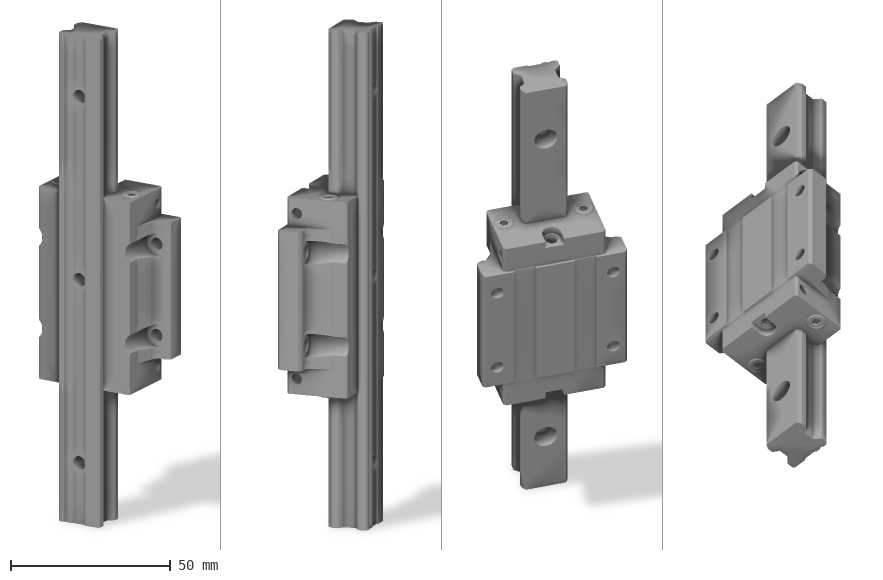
import cadquery as cq
import math


rail_length = 160.0
rail_half_width = 7.5
rail_height = 13.1
rail_foot_height = 2.7
rail_waist_half_width = 5.5
rail_waist_bottom = 4.5
rail_waist_top = 8.3
rail_head_bottom = 9.6
rail_head_top = 11.5
rail_head_chamfer = 1.0
rail_foot_chamfer = 0.6
rail_shoulder_fillet = 0.6
base_groove_half_width = 2.5
base_groove_floor_half_width = 2.0
base_groove_depth = 0.5
mark_groove_x = -4.6
mark_groove_width = 1.1
mark_groove_depth = 0.3
rail_hole_pitch = 60.0
rail_hole_diameter = 4.5
rail_counterbore_diameter = 7.5
rail_counterbore_depth = 5.3

carriage_z = -4.3
carriage_bottom = 3.2
carriage_half_width = 16.6
carriage_bottom_chamfer = 0.5
overall_height = 24.0

block_length = 44.8
flange_half_width = 23.5
flange_bottom = 16.0
flange_side_bottom = 17.0
flange_bevel_x = 22.7
flange_bevel_y = 16.3
flange_edge_x = 22.0
flange_fillet_start_x = 21.1
wall_top_x = 18.2
wall_top_y = 13.6
wall_bottom_y = 7.8
block_top_chamfer = 1.0
block_end_chamfer = 0.2
top_groove_inner_x = 6.2
top_groove_outer_x = 13.5
top_groove_depth = 0.5
mount_hole_x = 18.9
mount_hole_pitch_z = 30.0
mount_hole_diameter = 4.2
spotface_diameter = 7.5

cap_top = 23.4
cap_top_chamfer = 0.8
cap_thickness = 6.7
seal_thickness = 2.4
side_port_y = 20.0
side_port_offset = 4.2
side_port_diameter = 3.5
side_port_depth = 3.2
nipple_y = 19.7
nipple_diameter = 4.2
nipple_core_diameter = 3.4
nipple_recess_depth = 0.5
nipple_depth = 3.2
nipple_slot_width = 6.0
screw_x = 13.0
screw_y = 10.7
screw_head_diameter = 6.0
screw_head_height = 0.5
screw_head_chamfer = 0.3
screw_recess_diameter = 4.5
screw_recess_depth = 0.3
socket_sides = 6
socket_corner_diameter = 2.9
socket_depth = 1.3

block_z = carriage_z - block_length / 2


def mirrored(right_side):
    """Complete an outline listed bottom to top on its +X side with its mirror image."""
    return right_side + [(-x, y) for x, y in reversed(right_side)]


def rail_section():
    outline = mirrored([
        (rail_half_width - rail_foot_chamfer, 0),
        (rail_half_width, rail_foot_chamfer),
        (rail_half_width, rail_foot_height),
        (rail_waist_half_width, rail_waist_bottom),
        (rail_waist_half_width, rail_waist_top),
        (rail_half_width, rail_head_bottom),
        (rail_half_width, rail_head_top),
        (rail_half_width - rail_head_chamfer, rail_height),
    ])
    return cq.Workplane("XY").polyline(outline).close()


def rail_envelope(length, z_start):
    """The rail section without holes, used as the rail stock and to cut the carriage channel."""
    shoulder_height = (rail_waist_top + rail_head_bottom) / 2
    reach = rail_head_bottom - rail_waist_top
    return (
        rail_section()
        .extrude(length)
        .edges("|Z")
        .filter(lambda edge: abs(edge.Center().y - shoulder_height) < reach)
        .fillet(rail_shoulder_fillet)
        .translate((0, 0, z_start))
    )


def make_rail():
    rail = rail_envelope(rail_length, -rail_length / 2)
    base_groove = (
        cq.Workplane("XY", origin=(0, 0, -rail_length / 2))
        .polyline(mirrored([
            (base_groove_half_width, 0),
            (base_groove_floor_half_width, base_groove_depth),
        ]))
        .close()
        .extrude(rail_length)
    )
    mark_groove = cq.Workplane("XY").box(mark_groove_width, 2 * mark_groove_depth, rail_length)
    rail = rail.cut(base_groove).cut(mark_groove.translate((mark_groove_x, 0, 0)))
    return (
        rail.copyWorkplane(cq.Workplane("ZX", origin=(0, rail_height, 0)))
        .pushPoints([(i * rail_hole_pitch, 0) for i in (-1, 0, 1)])
        .cboreHole(rail_hole_diameter, rail_counterbore_diameter, rail_counterbore_depth)
    )


def block_body():
    """Flanged section; each wall meets its flange in a concave arc."""
    arc_bend = math.sin(math.radians(45))
    arc_mid = (
        wall_top_x + (flange_fillet_start_x - wall_top_x) * (1 - arc_bend),
        wall_top_y + (flange_bottom - wall_top_y) * arc_bend,
    )
    half = (
        cq.Workplane("XY")
        .moveTo(0, carriage_bottom)
        .lineTo(carriage_half_width - carriage_bottom_chamfer, carriage_bottom)
        .lineTo(carriage_half_width, carriage_bottom + carriage_bottom_chamfer)
        .lineTo(carriage_half_width, wall_bottom_y)
        .lineTo(wall_top_x, wall_top_y)
        .threePointArc(arc_mid, (flange_fillet_start_x, flange_bottom))
        .lineTo(flange_edge_x, flange_bottom)
        .lineTo(flange_bevel_x, flange_bevel_y)
        .lineTo(flange_half_width, flange_side_bottom)
        .lineTo(flange_half_width, overall_height - block_top_chamfer)
        .lineTo(flange_half_width - block_top_chamfer, overall_height)
        .lineTo(0, overall_height)
        .close()
        .extrude(block_length)
    )
    return half.union(half.mirror("YZ")).translate((0, 0, block_z))


def end_bevel(end):
    """Wedge that bevels the top edge of the block at its +Z or -Z end."""
    end_z = carriage_z + end * block_length / 2
    return (
        cq.Workplane("YZ", origin=(-flange_half_width, 0, 0))
        .polyline([
            (overall_height, end_z),
            (overall_height, end_z - end * block_end_chamfer),
            (overall_height - block_top_chamfer, end_z),
        ])
        .close()
        .extrude(2 * flange_half_width)
    )


def make_block():
    block = block_body().cut(rail_envelope(block_length, block_z))
    for end in (-1, 1):
        block = block.cut(end_bevel(end))
    groove_x = (top_groove_inner_x + top_groove_outer_x) / 2
    for side in (-1, 1):
        top_groove = cq.Workplane("XY").box(
            top_groove_outer_x - top_groove_inner_x, 2 * top_groove_depth, block_length
        )
        block = block.cut(top_groove.translate((side * groove_x, overall_height, carriage_z)))
        for end in (-1, 1):
            below_flange = (
                cq.Workplane("ZX")
                .center(carriage_z + end * mount_hole_pitch_z / 2, side * mount_hole_x)
            )
            spotface = below_flange.circle(spotface_diameter / 2).extrude(flange_bottom)
            hole = below_flange.circle(mount_hole_diameter / 2).extrude(overall_height)
            block = block.cut(spotface).cut(hole)
    return block


def end_plate(thickness, z_start):
    """A plate with the section shared by caps and seals, cut out around the rail."""
    outline = mirrored([
        (carriage_half_width - carriage_bottom_chamfer, carriage_bottom),
        (carriage_half_width, carriage_bottom + carriage_bottom_chamfer),
        (carriage_half_width, cap_top - cap_top_chamfer),
        (carriage_half_width - cap_top_chamfer, cap_top),
    ])
    plate = cq.Workplane("XY").polyline(outline).close().extrude(thickness)
    return plate.translate((0, 0, z_start)).cut(rail_envelope(thickness, z_start))


def make_cap():
    """End cap on the +Z end of the block, with a side port in each flank and a nipple hole."""
    z_start = carriage_z + block_length / 2
    cap = end_plate(cap_thickness, z_start)
    for side in (-1, 1):
        port = (
            cq.Workplane("YZ", origin=(side * carriage_half_width, 0, 0))
            .center(side_port_y, z_start + side_port_offset)
            .circle(side_port_diameter / 2)
            .extrude(-side * side_port_depth)
        )
        cap = cap.cut(port)
    nipple = cq.Workplane("XY", origin=(0, nipple_y, z_start + cap_thickness))
    core = nipple.circle(nipple_core_diameter / 2).extrude(-nipple_depth)
    recess = nipple.circle(nipple_diameter / 2).extrude(-nipple_recess_depth)
    return cap.cut(core).cut(recess)


def screw_head(centre):
    return (
        cq.Workplane("XY", origin=centre)
        .circle(screw_head_diameter / 2)
        .extrude(screw_head_height)
        .faces(">Z")
        .chamfer(screw_head_chamfer)
    )


def screw_socket(centre):
    """Shallow round recess in the top of a screw head, with a hexagon socket in its floor."""
    top = cq.Workplane("XY", origin=centre).workplane(offset=screw_head_height)
    recess = top.circle(screw_recess_diameter / 2).extrude(-screw_recess_depth)
    socket = top.polygon(socket_sides, socket_corner_diameter).extrude(-socket_depth)
    return recess.union(socket)


def make_seal():
    """End seal on the +Z end cap, with the nipple slot and two raised screw heads."""
    z_start = carriage_z + block_length / 2 + cap_thickness
    z_end = z_start + seal_thickness
    slot_height = cap_top - nipple_y
    base = cq.Workplane("XY", origin=(0, nipple_y, z_start))
    slot_round = base.circle(nipple_slot_width / 2).extrude(seal_thickness)
    slot_straight = (
        base.center(0, slot_height / 2).rect(nipple_slot_width, slot_height).extrude(seal_thickness)
    )
    seal = end_plate(seal_thickness, z_start).cut(slot_round).cut(slot_straight)
    for side in (-1, 1):
        centre = (side * screw_x, screw_y, z_end)
        seal = seal.union(screw_head(centre)).cut(screw_socket(centre))
    return seal


def on_both_ends(upper):
    """The part on the +Z end and its mirror image on the -Z end of the carriage."""
    return [upper, upper.mirror("XY", (0, 0, carriage_z))]


rail = make_rail()
block = make_block()
caps = on_both_ends(make_cap())
seals = on_both_ends(make_seal())

result = cq.Compound.makeCompound(
    [rail.val(), block.val()] + [part.val() for part in caps + seals]
)